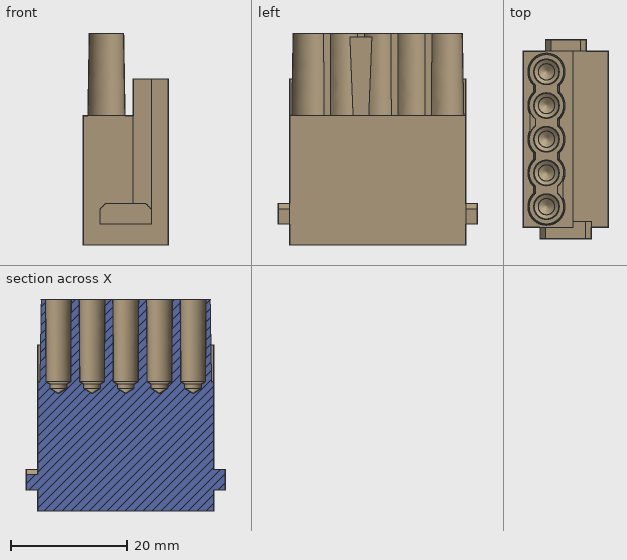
import cadquery as cq
import math

overall_height = 36.4
block_depth = 14.65
block_length = 30.3
block_top = 22.25
wall_front = 8.6
wall_top = 28.57

tube_count = 5
tube_pitch = 5.8
tube_x = 4.0
tube_top_diameter = 5.95
tube_base_diameter = 6.4
web_top_width = 3.8
web_base_width = 4.4
tube_height = overall_height - block_top

socket_top_diameter = 4.4
socket_base_diameter = 4.22
pilot_diameter = 2.8
pilot_length = 0.73
drill_tip_angle = 118.0

key_reach = 2.8
key_top = 35.75
left_key_gap = 2
right_key_gap = 0

lug_length = 1.95
lug_bottom = 3.6
lug_top = 7.17
lug_chamfer = 1.0
front_lug_start = 2.88
front_lug_end = 11.72
rear_lug_start = 3.82
rear_lug_end = 10.85
recess_depth = 1.0

end_y = block_length / 2
tube_positions = [(i - (tube_count - 1) / 2) * tube_pitch for i in range(tube_count)]
row_length = tube_positions[-1] - tube_positions[0]


def box(x_range, y_range, z_range):
    """Box spanning the given coordinate ranges."""
    sizes = [high - low for low, high in (x_range, y_range, z_range)]
    corner = (x_range[0], y_range[0], z_range[0])
    return cq.Workplane("XY").box(*sizes, centered=False).translate(corner)


def make_block():
    """L-shaped block with a corner step on the -Y end of the wall."""
    profile = [
        (0, 0), (block_depth, 0), (block_depth, wall_top),
        (wall_front, wall_top), (wall_front, block_top), (0, block_top),
    ]
    block = cq.Workplane("XZ").polyline(profile).close().extrude(end_y, both=True)
    recess = box(
        (wall_front, front_lug_end), (-end_y, -end_y + recess_depth), (lug_bottom, wall_top)
    )
    return block.cut(recess)


def make_lug(x_start, x_end, y_start, y_end):
    """Bar along Y with both upper edges chamfered."""
    bar = box((x_start, x_end), (y_start, y_end), (lug_bottom, lug_top))
    return bar.faces(">Z").edges("|Y").chamfer(lug_chamfer)


def make_tube(y):
    """Solid cone frustum standing on the block."""
    return (
        cq.Workplane("XY", origin=(tube_x, y, block_top))
        .circle(tube_base_diameter / 2)
        .workplane(offset=tube_height)
        .circle(tube_top_diameter / 2)
        .loft(ruled=True)
    )


def make_web():
    """Tapered wall that joins the tubes along the row."""
    profile = [
        (tube_x - web_base_width / 2, block_top), (tube_x + web_base_width / 2, block_top),
        (tube_x + web_top_width / 2, overall_height), (tube_x - web_top_width / 2, overall_height),
    ]
    return cq.Workplane("XZ").polyline(profile).close().extrude(row_length / 2, both=True)


def make_key(gap, face_x):
    """Plate between two neighbouring tube axes, out to a flat face at face_x."""
    x_range = sorted((tube_x, face_x))
    y_range = (tube_positions[gap], tube_positions[gap + 1])
    return box(x_range, y_range, (block_top, key_top))


def make_socket(y):
    """Tapered bore, conical shoulder, short pilot hole and drill tip."""
    socket_radius = socket_base_diameter / 2
    pilot_radius = pilot_diameter / 2
    tip_slope = 1 / math.tan(math.radians(drill_tip_angle / 2))
    shoulder_z = block_top - (socket_radius - pilot_radius) * tip_slope
    pilot_z = shoulder_z - pilot_length
    tip_z = pilot_z - pilot_radius * tip_slope
    profile = [
        (0, overall_height), (socket_top_diameter / 2, overall_height),
        (socket_radius, block_top), (pilot_radius, shoulder_z),
        (pilot_radius, pilot_z), (0, tip_z),
    ]
    return (
        cq.Workplane("XZ").polyline(profile).close()
        .revolve(360, (0, 0), (0, 1)).translate((tube_x, y, 0))
    )


result = make_block()
result = result.union(
    make_lug(front_lug_start, front_lug_end, -end_y - lug_length, -end_y + recess_depth)
)
result = result.union(make_lug(rear_lug_start, rear_lug_end, end_y, end_y + lug_length))
result = result.union(make_web())
for tube_y in tube_positions:
    result = result.union(make_tube(tube_y))
result = result.union(make_key(left_key_gap, tube_x - key_reach))
result = result.union(make_key(right_key_gap, tube_x + key_reach))
for tube_y in tube_positions:
    result = result.cut(make_socket(tube_y))